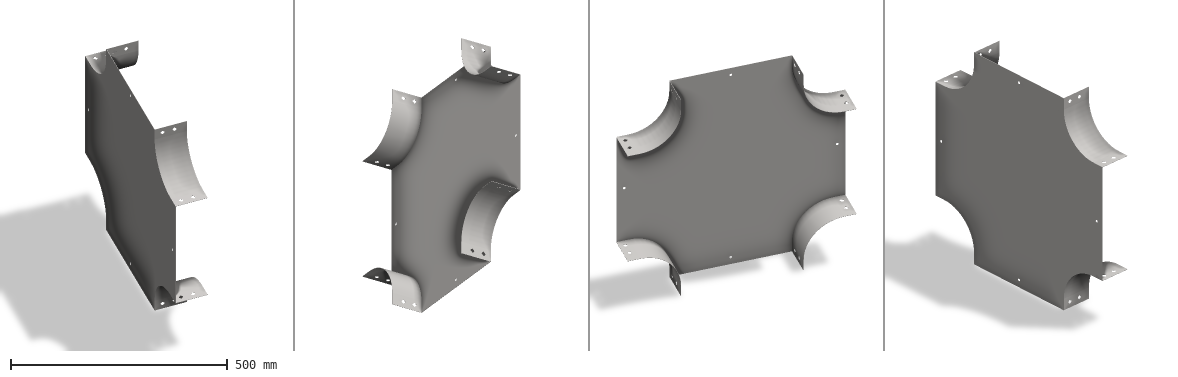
import cadquery as cq

span = 560.0
depth = 80.0
sheet = 0.85
half_span = span / 2

tab_length = 30.0
bend_radius = 100.0
bend_center = half_span - tab_length
half_arm = bend_center - bend_radius
quarter_turns = [0, 90, 180, 270]

plate_hole_diameter = 7.0
plate_hole_edge_distance = 19.5

slot_length = 9.0
slot_width = 8.0
slot_corner_radius = 1.5
slot_tilt = 45
slot_spacing = 30.0
slot_end_distance = tab_length / 2
first_slot_depth = 19.5



def corner_block(offset):
    """Full-depth block filling the +X +Z corner, its inner face moved outward by offset."""
    inner = half_arm + offset
    return (
        cq.Workplane("XZ")
        .moveTo(inner, half_span)
        .lineTo(inner, bend_center)
        .radiusArc((bend_center, inner), -(bend_radius - offset))
        .lineTo(half_span, inner)
        .lineTo(half_span, half_span)
        .close()
        .extrude(-depth)
    )


def base_plate():
    """Square plate with one hole near the middle of each side."""
    plate_holes = (
        cq.Workplane("XZ")
        .polarArray(half_span - plate_hole_edge_distance, 0, 360, len(quarter_turns))
        .circle(plate_hole_diameter / 2)
        .extrude(-sheet)
    )
    return cq.Workplane("XZ").rect(span, span).extrude(-sheet).cut(plate_holes)


def slot_cutters(tab_plane, centers, tilt):
    """Slots through a tab that starts on tab_plane."""
    slot = (
        cq.Sketch()
        .rect(slot_length, slot_width, angle=tilt)
        .vertices()
        .fillet(slot_corner_radius)
    )
    return tab_plane.pushPoints(centers).placeSketch(slot).extrude(sheet)


def corner_wall():
    """Thin wall following the +X +Z corner cut, slotted in both tabs."""
    along = half_span - slot_end_distance
    depths = [first_slot_depth, first_slot_depth + slot_spacing]
    horizontal_tab = cq.Workplane("XY", origin=(0, 0, half_arm))
    vertical_tab = cq.Workplane("YZ", origin=(half_arm, 0, 0))
    wall = corner_block(0).cut(corner_block(sheet))
    wall = wall.cut(slot_cutters(horizontal_tab, [(along, y) for y in depths], slot_tilt))
    return wall.cut(slot_cutters(vertical_tab, [(y, along) for y in depths], -slot_tilt))


def turned_about_y(shape, angle):
    return shape.rotate((0, 0, 0), (0, 1, 0), angle)


result = base_plate()
corner_cut = corner_block(0)
wall = corner_wall()
for angle in quarter_turns:
    result = result.cut(turned_about_y(corner_cut, angle))
    result = result.union(turned_about_y(wall, angle))